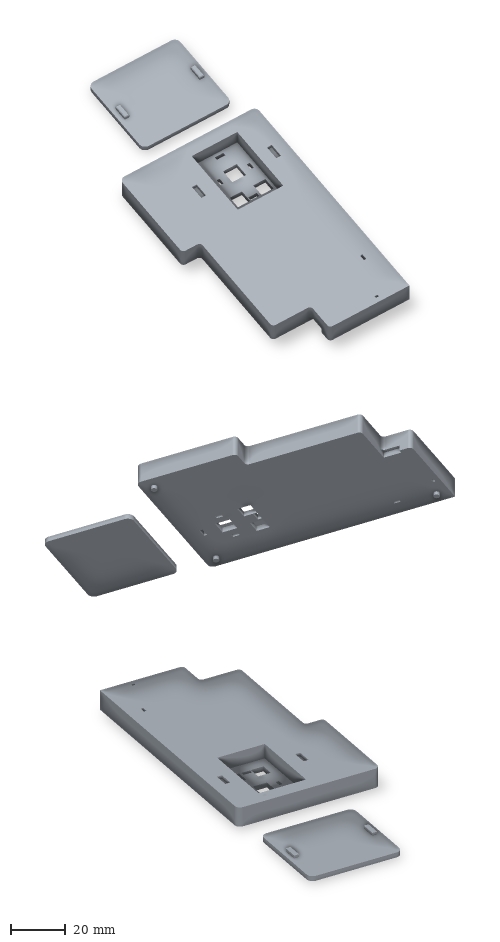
import cadquery as cq


housing_length = 100.0
housing_width = 60.0
housing_height = 8.1
left_section_end = 41.0
middle_section_end = 87.9
middle_section_front = 8.0
right_section_front = 24.8
left_corner_radius = 2.2
step_radius = 1.5

pocket_length = 30.0
pocket_width = 20.0
pocket_center_x = 20.9
pocket_center_y = 37.8
pocket_floor = 2.0

window_size = 6.0
window_x = 17.2
window_y = 39.0
side_window_size = 5.3
side_window_x = 28.4
side_window_spacing = 10.3
side_window_middle_y = 39.0
slit_length = 2.6
slit_width = 1.3
slit_x = 17.6
slit_spacing = 13.2
left_slit_x = 7.8
right_slit_x = 30.1
right_slit_y = 38.7
end_slit_length = 3.7
right_slit_width = 1.6

lamp_slit_length = 2.5
lamp_slit_width = 1.0
lamp_slit_x = 79.7
lamp_slit_y = 53.4
reset_hole_length = 0.9
reset_hole_width = 1.3
reset_hole_x = 97.5
reset_hole_y = 47.3

notch_length = 7.0
notch_height = 2.2
notch_depth = 1.5

foot_diameter = 2.4
foot_height = 1.5
foot_inset = 5.0

cover_length = 36.0
cover_width = 39.0
cover_thickness = 2.0
cover_corner_radius = 2.5
cover_gap = 11.0
cover_bottom = -0.5

tab_length = 6.0
tab_width = 2.0
tab_height = 1.5
tab_chamfer = 0.3
tab_spacing = 33.0
tab_middle_y = 37.3
slot_depth = 1.5

tab_rows = [tab_middle_y - tab_spacing / 2, tab_middle_y + tab_spacing / 2]
cover_center_x = -cover_gap - cover_length / 2


def block(length, width, bottom, top, x, y):
    """Box centred on (x, y) that runs from bottom to top."""
    height = top - bottom
    return cq.Workplane("XY").box(length, width, height).translate((x, y, bottom + height / 2))


def make_slab():
    outline = [
        (0, 0),
        (left_section_end, 0),
        (left_section_end, middle_section_front),
        (middle_section_end, middle_section_front),
        (middle_section_end, right_section_front),
        (housing_length, right_section_front),
        (housing_length, housing_width),
        (0, housing_width),
    ]
    slab = cq.Workplane("XY").polyline(outline).close().extrude(housing_height)
    slab = slab.edges("|Z and <X").fillet(left_corner_radius)
    step_corners = outline[1:6]
    for x, y in step_corners:
        corner = cq.selectors.NearestToPointSelector((x, y, housing_height / 2))
        slab = slab.edges("|Z").edges(corner).fillet(step_radius)
    return slab


def cut_pocket(body):
    pocket = block(
        pocket_length, pocket_width, pocket_floor, housing_height, pocket_center_x, pocket_center_y
    )
    return body.cut(pocket)


def cut_floor_openings(body):
    openings = [
        (window_size, window_size, window_x, window_y),
        (slit_width, end_slit_length, left_slit_x, window_y),
        (right_slit_width, end_slit_length, right_slit_x, right_slit_y),
    ]
    for side in (-1, 1):
        side_window_y = side_window_middle_y + side * side_window_spacing / 2
        slit_y = window_y + side * slit_spacing / 2
        openings.append((side_window_size, side_window_size, side_window_x, side_window_y))
        openings.append((slit_length, slit_width, slit_x, slit_y))
    for length, width, x, y in openings:
        body = body.cut(block(length, width, 0, pocket_floor, x, y))
    return body


def cut_tab_slots(body):
    for y in tab_rows:
        slot = block(
            tab_length, tab_width, housing_height - slot_depth, housing_height, pocket_center_x, y
        )
        body = body.cut(slot)
    return body


def cut_right_end_openings(body):
    lamp_slit = block(lamp_slit_length, lamp_slit_width, 0, housing_height, lamp_slit_x, lamp_slit_y)
    reset_hole = block(
        reset_hole_length, reset_hole_width, 0, housing_height, reset_hole_x, reset_hole_y
    )
    return body.cut(lamp_slit).cut(reset_hole)


def cut_notch(body):
    notch_width = notch_depth + step_radius
    notch_x = middle_section_end + notch_length / 2
    notch_y = right_section_front + notch_depth - notch_width / 2
    return body.cut(block(notch_length, notch_width, 0, notch_height, notch_x, notch_y))


def add_feet(body):
    rear_y = housing_width - foot_inset
    foot_places = [
        (foot_inset, foot_inset),
        (foot_inset, rear_y),
        (housing_length - foot_inset, rear_y),
    ]
    feet = (
        cq.Workplane("XY")
        .pushPoints(foot_places)
        .circle(foot_diameter / 2)
        .extrude(-foot_height)
    )
    return body.union(feet)


def make_housing():
    body = make_slab()
    body = cut_pocket(body)
    body = cut_floor_openings(body)
    body = cut_tab_slots(body)
    body = cut_right_end_openings(body)
    body = cut_notch(body)
    return add_feet(body)


def make_cover():
    cover_top = cover_bottom + cover_thickness
    plate = block(
        cover_length, cover_width, cover_bottom, cover_top, cover_center_x, tab_middle_y
    )
    plate = plate.edges("|Z").fillet(cover_corner_radius)
    for y in tab_rows:
        tab = block(tab_length, tab_width, cover_top, cover_top + tab_height, cover_center_x, y)
        plate = plate.union(tab.faces(">Z").chamfer(tab_chamfer))
    return plate


housing = make_housing()
cover = make_cover()

result = cq.Compound.makeCompound([housing.val(), cover.val()])